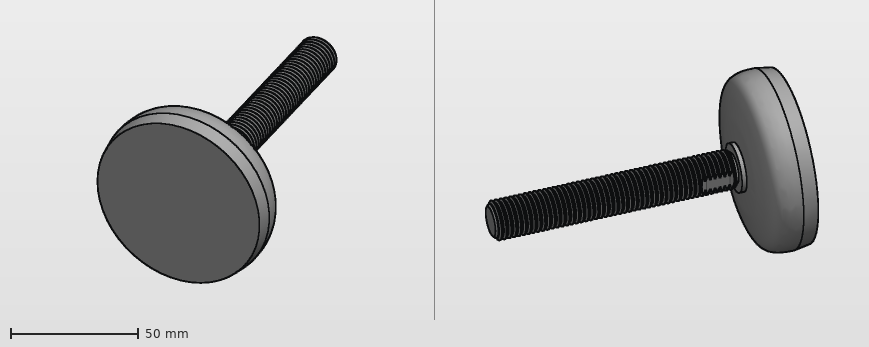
import cadquery as cq


PAD_BOTTOM_RADIUS = 35.7
RIM_DIAMETER = 73.5
RIM_RADIUS = RIM_DIAMETER / 2
PAD_TOP = 6.5
COVER_TOP = 21.0
CROWN_POINTS = [(36.2, 12.8), (34.6, 16.2), (30.9, 18.5), (22.3, 20.1)]
RIM_TANGENT = (0, 1)
COLLAR_TANGENT = (-1, 0.04)

COLLAR_RADIUS = 10.0
COLLAR_TOP = 22.9

STUD_TIP = 123.9
THREAD_RADIUS = 8.0
END_CHAMFER = 2.0
GROOVE_COUNT = 50
LAST_FULL_CREST = 25.9
PITCH = (STUD_TIP - LAST_FULL_CREST) / (GROOVE_COUNT - 1)
CREST_WIDTH = PITCH / 8
ROOT_WIDTH = PITCH / 4
ROOT_RADIUS = 7.0
GROOVE_CLEARANCE = 1.2

ACROSS_FLATS = 13.0
FLAT_START = 26.9
FLAT_END = 36.5
RUNOUT_RADIUS = 4.0

BASE_PLANE = cq.Plane(origin=(0, 0, 0), xDir=(-1, 0, 0), normal=(0, 0, -1))
STUD_PLANE = cq.Plane(origin=(0, 0, 0), xDir=(0, 0, 1), normal=(-1, 0, 0))


def spin(profile):
    """Revolve a closed (radius, height) profile about the stud axis."""
    return profile.close().revolve(360, (0, 0), (0, 1))


def make_pad():
    outline = [(0, 0), (PAD_BOTTOM_RADIUS, 0), (RIM_RADIUS, PAD_TOP), (0, PAD_TOP)]
    return spin(cq.Workplane(BASE_PLANE).polyline(outline))


def make_cover():
    profile = (
        cq.Workplane(BASE_PLANE)
        .moveTo(0, PAD_TOP)
        .lineTo(RIM_RADIUS, PAD_TOP)
        .spline(
            [*CROWN_POINTS, (COLLAR_RADIUS, COVER_TOP)],
            tangents=[RIM_TANGENT, COLLAR_TANGENT],
            includeCurrent=True,
        )
        .lineTo(0, COVER_TOP)
    )
    return spin(profile)


def make_collar():
    outline = [
        (0, COVER_TOP),
        (COLLAR_RADIUS, COVER_TOP),
        (COLLAR_RADIUS, COLLAR_TOP),
        (0, COLLAR_TOP),
    ]
    return spin(cq.Workplane(STUD_PLANE).polyline(outline))


def make_stud_blank():
    end_radius = THREAD_RADIUS - END_CHAMFER
    outline = [
        (0, COLLAR_TOP),
        (end_radius, COLLAR_TOP),
        (THREAD_RADIUS, COLLAR_TOP + END_CHAMFER),
        (THREAD_RADIUS, STUD_TIP - END_CHAMFER),
        (end_radius, STUD_TIP),
        (0, STUD_TIP),
    ]
    return spin(cq.Workplane(STUD_PLANE).polyline(outline))


def make_groove(height):
    """Ring-shaped thread groove centred at a height, with straight flanks widening outwards."""
    cut_radius = THREAD_RADIUS + GROOVE_CLEARANCE
    half_root = ROOT_WIDTH / 2
    half_mouth = (PITCH - CREST_WIDTH) / 2
    outline = [
        (ROOT_RADIUS, height - half_root),
        (THREAD_RADIUS, height - half_mouth),
        (cut_radius, height - half_mouth),
        (cut_radius, height + half_mouth),
        (THREAD_RADIUS, height + half_mouth),
        (ROOT_RADIUS, height + half_root),
    ]
    return spin(cq.Workplane(STUD_PLANE).polyline(outline))


def make_flat_cutter(side):
    """Block that cuts one flat; side is +1 or -1 along X."""
    depth = THREAD_RADIUS
    block_length = FLAT_END - FLAT_START + 2 * RUNOUT_RADIUS
    block = (
        cq.Workplane("XY")
        .box(depth, block_length, 2 * THREAD_RADIUS)
        .edges("<X and |Z")
        .fillet(RUNOUT_RADIUS)
        .translate((ACROSS_FLATS / 2 + depth / 2, (FLAT_START + FLAT_END) / 2, 0))
    )
    return block if side > 0 else block.mirror("YZ")


def make_stud():
    grooves = []
    for index in range(GROOVE_COUNT):
        grooves.append(make_groove(STUD_TIP - (index + 0.5) * PITCH).val())
    stud = make_stud_blank().cut(cq.Workplane(cq.Compound.makeCompound(grooves)))
    for side in (1, -1):
        stud = stud.cut(make_flat_cutter(side))
    return stud


pad = make_pad()
cover = make_cover()
collar = make_collar()
stud = make_stud()

result = cq.Compound.makeCompound([pad.val(), cover.val(), collar.val(), *stud.vals()])